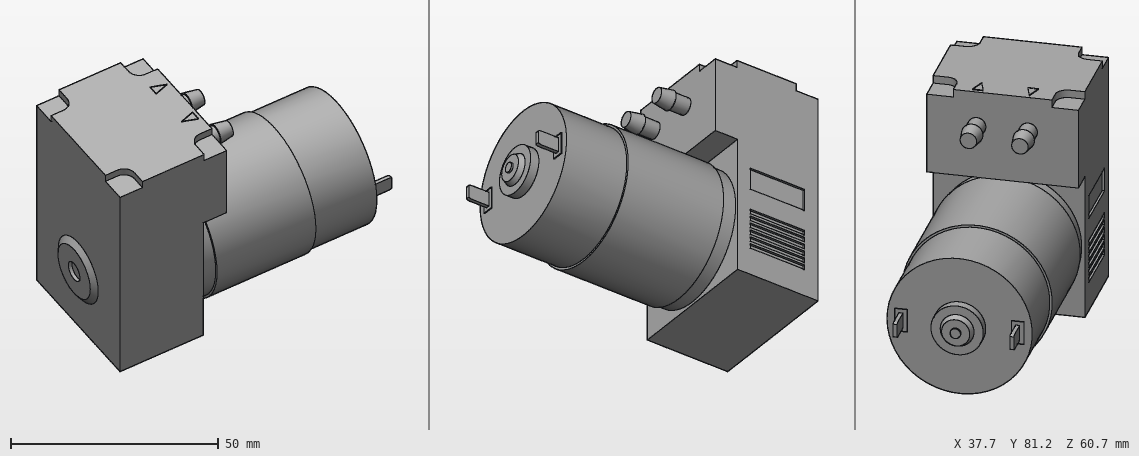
import cadquery as cq

OVERLAP = 0.5

BLOCK_WIDTH = 37.7
BLOCK_HEIGHT = 60.5
LOWER_DEPTH = 23.8
UPPER_DEPTH = 30.4
STEP_Z = BLOCK_WIDTH
AXIS_Z = BLOCK_WIDTH / 2

POCKET_X = 6.6
POCKET_Y = 6.4
POCKET_DEPTH = 2.0
POCKET_RADIUS = 3.0

COVER_DIA = 18.0
COVER_FACE_DIA = 14.6
COVER_HEIGHT = 1.2
COVER_HOLE_DIA = 5.2
COVER_HOLE_DEPTH = 1.0

MOTOR_DIA = 36.1
SLEEVE_DIA = 37.3
SLEEVE_START = 27.8
SLEEVE_END = 56.0
MOTOR_END = 73.8

COLLAR_DIA = 13.0
COLLAR_LENGTH = 2.45
CONE_BASE_DIA = 8.4
CONE_TIP_DIA = 7.0
CONE_LENGTH = 1.45
SHAFT_DIA = 2.6
SHAFT_LENGTH = 0.5

TERMINAL_OFFSET = 14.5
TERMINAL_THICKNESS = 1.0
TERMINAL_WIDTH = 4.0
TERMINAL_LENGTH = 6.2
TIP_EASING_LENGTH = 1.0
TIP_EASING_DROP = 0.3
PAD_WIDTH = 3.1
PAD_HEIGHT = 6.0
PAD_THICKNESS = 0.25

PORT_OFFSET = 6.4
PORT_Z = 51.4
PORT_DIA = 4.5
PORT_LENGTH = 8.5
BARB_START = 4.6
BARB_BASE_DIA = 5.3
BARB_TIP_DIA = 4.1

ARROW_LENGTH = 4.0
ARROW_WIDTH = 2.7
ARROW_HEIGHT = 0.2
ARROW_MARGIN = 1.0

RECESS_DEPTH = 0.6
RECESS_START = 4.0
RECESS_LENGTH = 16.0
LABEL_BOTTOM = 24.7
LABEL_HEIGHT = 6.1
SLOT_COUNT = 6
SLOT_BOTTOM = 7.6
SLOT_HEIGHT = 1.3
SLOT_PITCH = 2.0


def cylinder_y(diameter, start, end, x=0, z=AXIS_Z):
    """Cylinder along Y between two Y positions."""
    return cq.Workplane("XZ", origin=(x, start, z)).circle(diameter / 2).extrude(start - end)


def cone_y(start_diameter, end_diameter, start, end, x=0, z=AXIS_Z):
    """Truncated cone along Y between two Y positions."""
    profile = (
        cq.Workplane("XY", origin=(x, 0, z))
        .moveTo(0, start)
        .lineTo(start_diameter / 2, start)
        .lineTo(end_diameter / 2, end)
        .lineTo(0, end)
        .close()
    )
    return profile.revolve(360, (0, 0, 0), (0, 1, 0))


def make_block():
    """L-shaped head whose upper part overhangs the motor."""
    return (
        cq.Workplane("YZ")
        .polyline([
            (0, 0),
            (LOWER_DEPTH, 0),
            (LOWER_DEPTH, STEP_Z),
            (UPPER_DEPTH, STEP_Z),
            (UPPER_DEPTH, BLOCK_HEIGHT),
            (0, BLOCK_HEIGHT),
        ])
        .close()
        .extrude(BLOCK_WIDTH / 2, both=True)
    )


def cut_corner_pockets(body):
    """Open pockets at the four top corners, each with a rounded inner corner."""
    corner_x = BLOCK_WIDTH / 2
    for corner_y in (0, UPPER_DEPTH):
        for side in (-1, 1):
            pocket = (
                cq.Workplane("XY", origin=(side * corner_x, corner_y, BLOCK_HEIGHT - POCKET_DEPTH))
                .rect(2 * POCKET_X, 2 * POCKET_Y)
                .extrude(POCKET_DEPTH)
                .edges("|Z")
                .fillet(POCKET_RADIUS)
            )
            body = body.cut(pocket)
    return body


def cut_side_recess(body, bottom, height):
    """Shallow rectangular recess in the -X side."""
    recess = cq.Workplane("XY").box(RECESS_DEPTH, RECESS_LENGTH, height, centered=False)
    return body.cut(recess.translate((-BLOCK_WIDTH / 2, RECESS_START, bottom)))


def make_cover():
    """Tapered cover with a round blind hole on the front face."""
    cover = cone_y(COVER_FACE_DIA, COVER_DIA, -COVER_HEIGHT, 0)
    root = cylinder_y(COVER_DIA, 0, OVERLAP)
    hole = cylinder_y(COVER_HOLE_DIA, -COVER_HEIGHT, COVER_HOLE_DEPTH - COVER_HEIGHT)
    return cover.union(root).cut(hole)


def make_motor():
    """Motor can, sleeve and rear bearing."""
    collar_end = MOTOR_END + COLLAR_LENGTH
    cone_end = collar_end + CONE_LENGTH
    can = cylinder_y(MOTOR_DIA, LOWER_DEPTH - OVERLAP, MOTOR_END)
    sleeve = cylinder_y(SLEEVE_DIA, SLEEVE_START, SLEEVE_END)
    collar = cylinder_y(COLLAR_DIA, MOTOR_END - OVERLAP, collar_end)
    cone = cone_y(CONE_BASE_DIA, CONE_TIP_DIA, collar_end, cone_end)
    shaft = cylinder_y(SHAFT_DIA, MOTOR_END, cone_end + SHAFT_LENGTH)
    return can.union(sleeve).union(collar).union(cone).union(shaft)


def make_terminal(x):
    """Flat terminal with shallow rounded tip corners, standing on a thin pad."""
    root_y = MOTOR_END - OVERLAP
    tip_y = MOTOR_END + TERMINAL_LENGTH
    easing_y = tip_y - TIP_EASING_LENGTH
    half_width = TERMINAL_WIDTH / 2
    half_tip = half_width - TIP_EASING_DROP
    upper_half = (
        cq.Workplane("YZ", origin=(x, 0, AXIS_Z))
        .moveTo(root_y, half_width)
        .lineTo(easing_y, half_width)
        .tangentArcPoint((tip_y, half_tip), relative=False)
        .lineTo(tip_y, 0)
        .lineTo(root_y, 0)
        .close()
        .extrude(TERMINAL_THICKNESS / 2, both=True)
    )
    blade = upper_half.union(upper_half.mirror("XY", (x, 0, AXIS_Z)))
    pad = (
        cq.Workplane("XZ", origin=(x, MOTOR_END - OVERLAP, AXIS_Z))
        .rect(PAD_WIDTH, PAD_HEIGHT)
        .extrude(-PAD_THICKNESS - OVERLAP)
    )
    return blade.union(pad)


def make_port(x):
    """Hose port with a tapered barb at its end."""
    tube = cylinder_y(PORT_DIA, UPPER_DEPTH - OVERLAP, UPPER_DEPTH + BARB_START, x, PORT_Z)
    barb = cone_y(
        BARB_BASE_DIA, BARB_TIP_DIA, UPPER_DEPTH + BARB_START, UPPER_DEPTH + PORT_LENGTH, x, PORT_Z
    )
    return tube.union(barb)


def make_arrow(x, direction):
    """Raised triangle pointing along +Y (direction 1) or -Y (direction -1)."""
    center_y = UPPER_DEPTH - ARROW_MARGIN - ARROW_LENGTH / 2
    tip_y = direction * ARROW_LENGTH / 2
    return (
        cq.Workplane("XY", origin=(x, center_y, BLOCK_HEIGHT - OVERLAP))
        .polyline([(-ARROW_WIDTH / 2, -tip_y), (ARROW_WIDTH / 2, -tip_y), (0, tip_y)])
        .close()
        .extrude(OVERLAP + ARROW_HEIGHT)
    )


head = cut_corner_pockets(make_block())
head = cut_side_recess(head, LABEL_BOTTOM, LABEL_HEIGHT)
for slot in range(SLOT_COUNT):
    head = cut_side_recess(head, SLOT_BOTTOM + slot * SLOT_PITCH, SLOT_HEIGHT)

result = head.union(make_cover()).union(make_motor())
for side in (-1, 1):
    result = result.union(make_terminal(side * TERMINAL_OFFSET))
    result = result.union(make_port(side * PORT_OFFSET))
    result = result.union(make_arrow(side * PORT_OFFSET, -side))